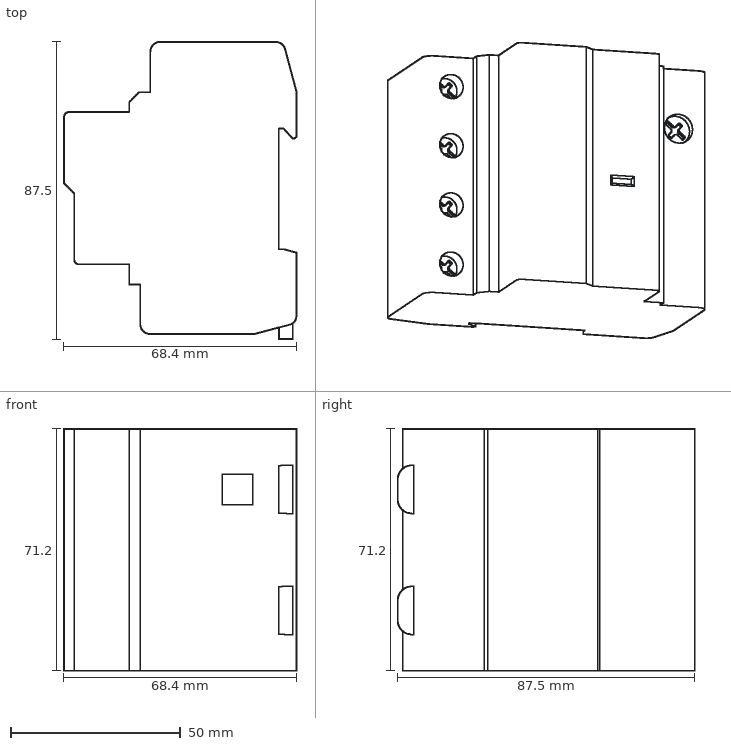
import cadquery as cq
import math


depth = 68.4
housing_height = 86.0
width = 71.2
module_count = 4
module_pitch = width / module_count

lower_panel_x = 3.0
shoulder_x = 19.2
lower_terminal_x = 22.4
upper_terminal_x = 25.4

lower_shoulder_y = 14.5
panel_bottom_y = 20.5
panel_bevel_y = 41.4
panel_top_y = 65.4
upper_shoulder_y = 71.2
shoulder_bevel = 3.0

rail_x = 63.3
rail_bottom_y = 25.0
rail_top_y = 60.5
rail_lip = 1.3
hook_tip_x = 67.5
hook_drop = 3.15
hook_end_drop = 2.45
rear_slope = math.tan(math.radians(15))
lower_slope_x = 56.1
upper_slope_y = 71.4
lower_rear_y = (depth - lower_slope_x) * rear_slope
upper_rear_x = depth - (housing_height - upper_slope_y) * rear_slope
rail_bottom_end_y = rail_bottom_y - (depth - rail_x - rail_lip) * rear_slope

housing_radius = 3.0
lower_rear_radius = 2.6
panel_radius = 1.5
hook_radius = 0.3

upper_screw_y = 78.0
upper_screw_diameter = 7.2
upper_screw_recess = 6.0
lower_screw_y = 8.9
lower_screw_diameter = 8.7
lower_screw_recess = 3.0
lower_screw_z = (module_count - 1) * module_pitch

cross_long = 6.9
cross_short = 5.2
cross_slot_width = 1.2
cross_core_diameter = 2.4
cross_depth = 1.5
cross_angle = 40

wire_entry_size = 9.0
wire_entry_depth = 10.0
wire_entry_x = 51.0

connector_length = 7.3
connector_height = 3.0
connector_depth = 0.7
connector_taper = 45
connector_y = 32.2
connector_z = 32.3

foot_thickness = 4.1
foot_width = 14.2
foot_radius = 4.2
foot_protrusion = 1.5
foot_root_y = 8.75


def make_housing():
    outline = [
        (lower_terminal_x, 0),
        (lower_slope_x, 0),
        (depth, lower_rear_y),
        (depth, rail_bottom_end_y),
        (rail_x + rail_lip, rail_bottom_y),
        (rail_x, rail_bottom_y),
        (rail_x, rail_top_y),
        (rail_x + rail_lip, rail_top_y),
        (hook_tip_x, rail_top_y - hook_drop),
        (depth, rail_top_y - hook_end_drop),
        (depth, upper_slope_y),
        (upper_rear_x, housing_height),
        (upper_terminal_x, housing_height),
        (upper_terminal_x, upper_shoulder_y),
        (shoulder_x + shoulder_bevel, upper_shoulder_y),
        (shoulder_x, upper_shoulder_y - shoulder_bevel),
        (shoulder_x, panel_top_y),
        (0, panel_top_y),
        (0, panel_bevel_y + lower_panel_x),
        (lower_panel_x, panel_bevel_y),
        (lower_panel_x, panel_bottom_y),
        (shoulder_x, panel_bottom_y),
        (shoulder_x, lower_shoulder_y),
        (lower_terminal_x, lower_shoulder_y),
    ]
    rounded_corners = [
        (lower_terminal_x, 0, housing_radius),
        (depth, lower_rear_y, lower_rear_radius),
        (upper_rear_x, housing_height, housing_radius),
        (upper_terminal_x, housing_height, housing_radius),
        (0, panel_top_y, panel_radius),
        (lower_panel_x, panel_bottom_y, panel_radius),
        (hook_tip_x, rail_top_y - hook_drop, hook_radius),
    ]
    housing = cq.Workplane("XY").polyline(outline).close().extrude(width)
    for x, y, radius in rounded_corners:
        corner = cq.selectors.NearestToPointSelector((x, y, width / 2))
        housing = housing.edges("|Z").edges(corner).fillet(radius)
    return housing


def facing_plane(x, y, z):
    """Sketch plane on a front face: local X is +Y, local Y is +Z, extrusion goes into the part."""
    return cq.Workplane(cq.Plane(origin=(x, y, z), xDir=(0, 1, 0), normal=(1, 0, 0)))


def screw_cutter(face_x, y, z, diameter, recess):
    """Round recess whose floor is a screw head with a cross slot."""
    bore = facing_plane(face_x, y, z).circle(diameter / 2).extrude(recess)
    head = facing_plane(face_x + recess, y, z)
    core = head.circle(cross_core_diameter / 2).extrude(cross_depth)
    turned = head.transformed(rotate=(0, 0, cross_angle))
    long_slot = turned.rect(cross_long, cross_slot_width).extrude(cross_depth)
    short_slot = turned.rect(cross_slot_width, cross_short).extrude(cross_depth)
    return bore.union(core).union(long_slot).union(short_slot)


def wire_entry_cutter():
    return cq.Workplane("XY").box(
        wire_entry_size, wire_entry_depth, wire_entry_size, centered=(True, False, True)
    ).translate((wire_entry_x, 0, lower_screw_z))


def connector_cutter():
    return (
        facing_plane(lower_panel_x, connector_y, connector_z)
        .rect(connector_length, connector_height)
        .extrude(connector_depth, taper=connector_taper)
    )


def make_foot(z):
    """Latch foot with two rounded outer corners, rooted inside the housing."""
    length = foot_root_y + foot_protrusion
    return (
        cq.Workplane("XY")
        .box(foot_thickness, length, foot_width, centered=(False, False, True))
        .edges("|X and <Y")
        .fillet(foot_radius)
        .translate((rail_x, -foot_protrusion, z))
    )


result = make_housing()

for module in range(module_count):
    screw_z = (module + 0.5) * module_pitch
    result = result.cut(
        screw_cutter(upper_terminal_x, upper_screw_y, screw_z, upper_screw_diameter, upper_screw_recess)
    )

result = result.cut(
    screw_cutter(lower_terminal_x, lower_screw_y, lower_screw_z, lower_screw_diameter, lower_screw_recess)
)
result = result.cut(wire_entry_cutter())
result = result.cut(connector_cutter())

for foot_z in (module_pitch, (module_count - 1) * module_pitch):
    result = result.union(make_foot(foot_z))